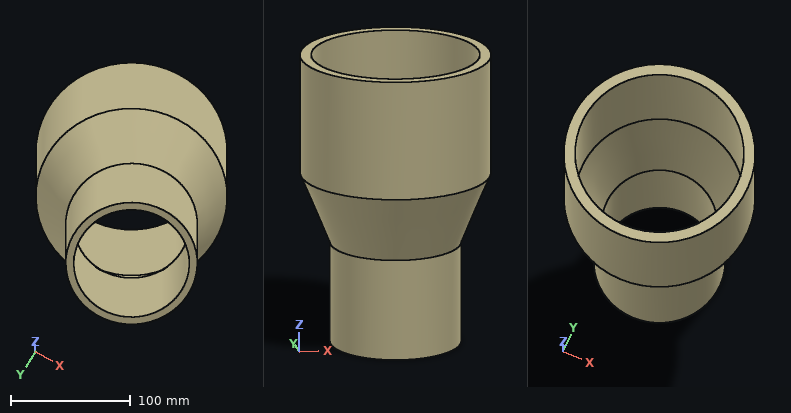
import cadquery as cq

total_height = 250.0
spigot_height = 87.0
cone_top = 147.5

socket_radius = 160.0 / 2
socket_wall = 9.5
spigot_radius = 110.0 / 2
spigot_wall = 6.8


def turned_solid(lower_radius, upper_radius):
    """Solid of revolution about Z: lower cylinder, cone, upper cylinder."""
    profile = [
        (0, 0),
        (lower_radius, 0),
        (lower_radius, spigot_height),
        (upper_radius, cone_top),
        (upper_radius, total_height),
        (0, total_height),
    ]
    return cq.Workplane("XZ").polyline(profile).close().revolve(360, (0, 0), (0, 1))


outside = turned_solid(spigot_radius, socket_radius)
bore = turned_solid(spigot_radius - spigot_wall, socket_radius - socket_wall)

result = outside.cut(bore)